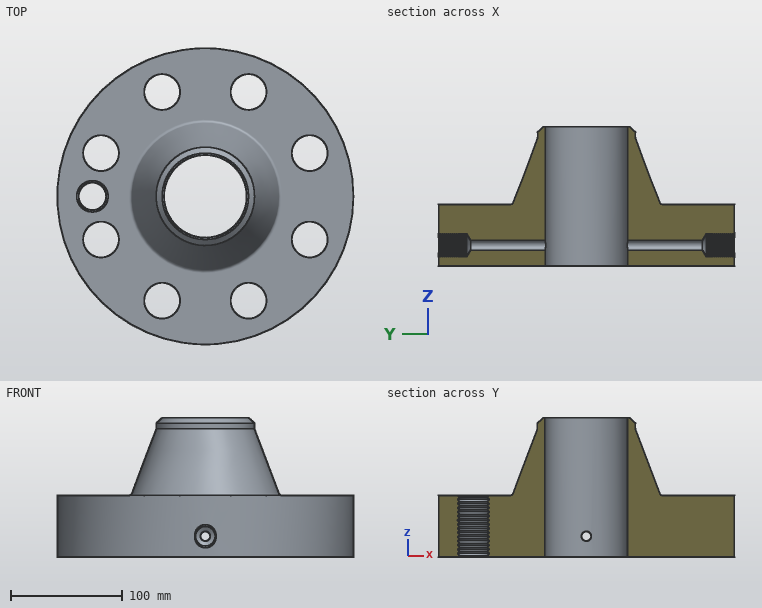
import cadquery as cq
import math

flange_diameter = 266.7
flange_thickness = 55.5

total_height = 125.3
hub_base_radius = 67.0
neck_radius = 44.3
taper_top_height = 115.2
bevel_start_height = 120.5
bevel_end_radius = 39.0
hub_fillet = 3.0
bore_diameter = 74.1

bolt_circle_diameter = 203.2
bolt_hole_diameter = 32.0
bolt_count = 8

jack_minor_diameter = 24.5
jack_major_diameter = 28.3
jack_pitch = 3.7

tap_height = 18.7
tap_minor_diameter = 17.5
tap_major_diameter = 20.8
tap_pitch = 1.81
tap_turns = 15
tap_tip_angle = 118.0
tap_drill_diameter = 8.5


def revolve_about_z(profile):
    """Solid of revolution from (radius, height) points."""
    return cq.Workplane("XZ").polyline(profile).close().revolve(360, (0, 0), (0, 1))


def make_body():
    """Revolved flange and hub, with a fillet where the hub meets the flange."""
    flange_radius = flange_diameter / 2
    profile = [
        (0, 0),
        (flange_radius, 0),
        (flange_radius, flange_thickness),
        (hub_base_radius, flange_thickness),
        (neck_radius, taper_top_height),
        (neck_radius, bevel_start_height),
        (bevel_end_radius, total_height),
        (0, total_height),
    ]
    body = revolve_about_z(profile)
    second_largest = cq.selectors.RadiusNthSelector(-2)
    body = body.edges("%CIRCLE").edges(second_largest).fillet(hub_fillet)
    return body.faces("<Z").workplane().hole(bore_diameter)


def thread_outline(minor_diameter, major_diameter, pitch, turns):
    """Zigzag (radius, depth) points of a thread, modelled as V rings with a groove at the mouth."""
    points = []
    for turn in range(turns):
        points.append((major_diameter / 2, turn * pitch))
        points.append((minor_diameter / 2, (turn + 0.5) * pitch))
    return points


def cut_bolt_holes(body):
    """Equally spaced bolt holes that straddle the X and Y axes."""
    half_step = 180 / bolt_count
    holes = (
        cq.Workplane("XY")
        .polarArray(bolt_circle_diameter / 2, half_step, 360, bolt_count)
        .circle(bolt_hole_diameter / 2)
        .extrude(flange_thickness)
    )
    return body.cut(holes)


def cut_jacking_hole(body):
    """Threaded hole through the flange on the -X side."""
    turns = math.ceil(flange_thickness / jack_pitch) + 1
    thread = thread_outline(jack_minor_diameter, jack_major_diameter, jack_pitch, turns)
    thread_end = thread[-1][1]
    tool = revolve_about_z([(0, 0)] + thread + [(0, thread_end)])
    tool = tool.rotate((0, 0, 0), (1, 0, 0), 180)
    return body.cut(tool.translate((-bolt_circle_diameter / 2, 0, flange_thickness)))


def make_pressure_tap_tool():
    """Cutter for the -Y tap: threaded mouth, conical bottom and a small hole to the bore axis."""
    rim = flange_diameter / 2
    minor_radius = tap_minor_diameter / 2
    drill_radius = tap_drill_diameter / 2
    thread = thread_outline(tap_minor_diameter, tap_major_diameter, tap_pitch, tap_turns)
    cone_start = thread[-1][1]
    cone_length = (minor_radius - drill_radius) / math.tan(math.radians(tap_tip_angle / 2))
    drill = [
        (drill_radius, cone_start + cone_length),
        (drill_radius, rim),
        (0, rim),
    ]
    tool = revolve_about_z([(0, 0)] + thread + drill)
    return tool.rotate((0, 0, 0), (1, 0, 0), -90).translate((0, -rim, tap_height))


def cut_pressure_taps(body):
    """Two opposite taps, on the -Y and +Y sides."""
    tool = make_pressure_tap_tool()
    for turn in (0, 180):
        body = body.cut(tool.rotate((0, 0, 0), (0, 0, 1), turn))
    return body


result = make_body()
result = cut_bolt_holes(result)
result = cut_jacking_hole(result)
result = cut_pressure_taps(result)